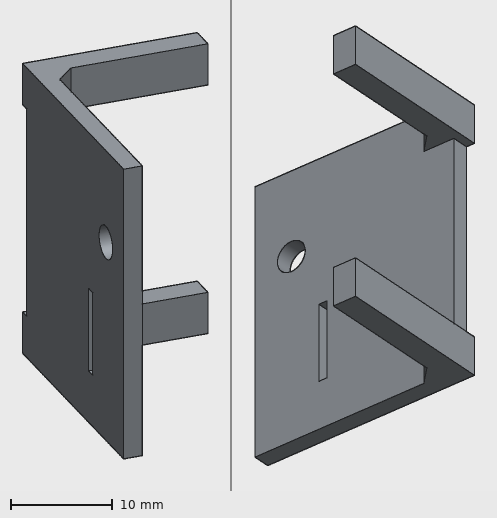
import cadquery as cq

width = 26.2
depth = 18.6
height = 31.6

plate_thickness = 2.0
arm_thickness = 2.8
corner_chamfer = 2.0

arm_height = 4.5
notch_depth = 1.0

hole_diameter = 3.5
hole_x = 21.6
hole_z = 21.6

slot_width = 1.0
slot_length = 9.0
slot_x = 17.6
slot_bottom = 5.6


def box(x_min, y_min, z_min, x_size, y_size, z_size):
    """Box placed by its minimum corner."""
    return cq.Workplane("XY").box(x_size, y_size, z_size, centered=False).translate((x_min, y_min, z_min))


def angle_body():
    """Full-height L section with a sloped fill in the inner corner."""
    return (
        cq.Workplane("XY")
        .moveTo(0, 0)
        .lineTo(width, 0)
        .lineTo(width, plate_thickness)
        .lineTo(arm_thickness + corner_chamfer, plate_thickness)
        .lineTo(arm_thickness, plate_thickness + corner_chamfer)
        .lineTo(arm_thickness, depth)
        .lineTo(0, depth)
        .close()
        .extrude(height)
    )


def arm_opening():
    """Space between the arms: clears the side wall and notches the plate edge."""
    opening_height = height - 2 * arm_height
    behind_plate = box(0, plate_thickness, arm_height, width, depth, opening_height)
    edge_notch = box(0, 0, arm_height, notch_depth, depth, opening_height)
    return behind_plate.union(edge_notch)


def round_hole():
    """Cylinder through the plate along Y."""
    axis_start = cq.Vector(hole_x, 0, hole_z)
    along_y = cq.Vector(0, 1, 0)
    return cq.Workplane(cq.Solid.makeCylinder(hole_diameter / 2, plate_thickness, axis_start, along_y))


def plate_slot():
    """Rectangular slot through the plate."""
    return box(slot_x - slot_width / 2, 0, slot_bottom, slot_width, plate_thickness, slot_length)


result = angle_body().cut(arm_opening()).cut(round_hole()).cut(plate_slot())